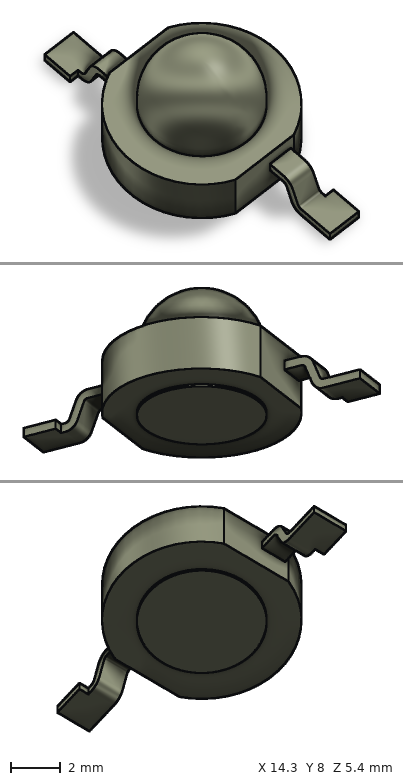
import cadquery as cq
import math

overall_length = 14.3
overall_height = 5.4

housing_diameter = 8.0
housing_width = 7.31
housing_bottom = 0.1
housing_top = 2.4
round_diameter = 5.2
lens_radius = round_diameter / 2
dome_base = overall_height - lens_radius

lead_thickness = 0.4
lead_top = 1.66
lead_inner_side = -0.29
lead_outer_side = -1.45
foot_outer_side = -1.89
foot_length = 1.49
bend_start = 1.67
bend_angle = 68.0
bend_inner_radius = 0.2
bend_outer_radius = bend_inner_radius + lead_thickness
lead_count = 2


def make_housing():
    """Round disc with a flat on each lead side."""
    height = housing_top - housing_bottom
    disc = cq.Workplane("XY").circle(housing_diameter / 2).extrude(height)
    flats = cq.Workplane("XY").rect(housing_width, housing_diameter).extrude(height)
    return disc.intersect(flats).translate((0, 0, housing_bottom))


def make_slug():
    """Thin round pad under the housing."""
    return cq.Workplane("XY").circle(round_diameter / 2).extrude(housing_bottom)


def make_lens():
    """Hemisphere on a short cylinder, revolved about Z."""
    arc_offset = lens_radius * math.sin(math.radians(45))
    return (
        cq.Workplane("XZ")
        .moveTo(0, housing_top)
        .lineTo(lens_radius, housing_top)
        .lineTo(lens_radius, dome_base)
        .threePointArc((arc_offset, dome_base + arc_offset), (0, overall_height))
        .close()
        .revolve(360, (0, 0, 0), (0, 1, 0))
    )


def make_lead():
    """Lead on the -X side: an S-bent strip with a wider foot."""
    tip = -overall_length / 2
    root = -housing_width / 2
    half_bend = math.tan(math.radians(bend_angle / 2))
    lead_bottom = lead_top - lead_thickness

    miter = lead_thickness * half_bend
    lower_inner_x = tip + bend_start + bend_inner_radius * half_bend
    lower_outer_x = lower_inner_x + miter
    slope_run = lead_bottom / math.tan(math.radians(bend_angle))
    upper_outer_x = lower_inner_x + slope_run
    upper_inner_x = lower_outer_x + slope_run

    strip = (
        cq.Workplane("XZ", origin=(0, lead_inner_side, 0))
        .polyline([
            (tip, 0),
            (lower_outer_x, 0),
            (upper_inner_x, lead_bottom),
            (root, lead_bottom),
            (root, lead_top),
            (upper_outer_x, lead_top),
            (lower_inner_x, lead_thickness),
            (tip, lead_thickness),
        ])
        .close()
        .extrude(lead_inner_side - lead_outer_side)
    )

    mid_side = (lead_inner_side + lead_outer_side) / 2
    inner_corners = [(lower_inner_x, lead_thickness), (upper_inner_x, lead_bottom)]
    outer_corners = [(lower_outer_x, 0), (upper_outer_x, lead_top)]
    for corners, radius in ((inner_corners, bend_inner_radius), (outer_corners, bend_outer_radius)):
        for x, z in corners:
            corner_edge = cq.selectors.NearestToPointSelector((x, mid_side, z))
            strip = strip.edges("|Y").edges(corner_edge).fillet(radius)

    foot = cq.Workplane("XY").box(
        foot_length, lead_inner_side - foot_outer_side, lead_thickness, centered=False
    ).translate((tip, foot_outer_side, 0))
    return strip.union(foot).clean()


housing = make_housing()
slug = make_slug()
lens = make_lens()

leads = []
for index in range(lead_count):
    lead_angle = index * 360 / lead_count
    leads.append(make_lead().rotate((0, 0, 0), (0, 0, 1), lead_angle).val())

result = cq.Compound.makeCompound([housing.val(), slug.val(), lens.val(), *leads])